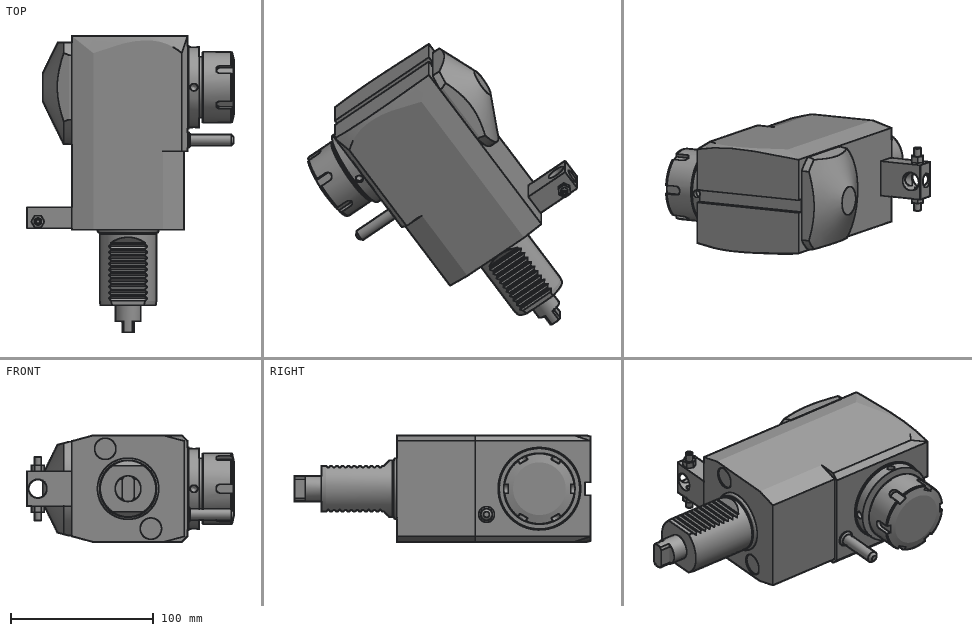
import cadquery as cq
import math


BODY_LENGTH = 136.0
HALF_HEIGHT = 37.5
HALF_WIDTH = 39.4
SPINDLE_FACE_X = 41.7
STEP_Y = 55.0
BEVEL_RUN = 15.0
BEVEL_ANGLE = 15.0
BEVEL_DROP = BEVEL_RUN * math.tan(math.radians(BEVEL_ANGLE))
SIDE_HALF_HEIGHT = HALF_HEIGHT - BEVEL_DROP
REAR_CHAMFER = BEVEL_DROP

CROWN_CORNER_Y = 124.0
CROWN_PEAK_X = 13.5
CROWN_PEAK_Y = 132.9
CROWN_TOP_START_SLOPE = 0.33
CROWN_TOP_END_SLOPE = -0.85
CROWN_REAR_RISE = 3.2
CROWN_REAR_START_SLOPE = 0.09
CROWN_REAR_END_SLOPE = -0.22

KEYWAY_WIDTH = 9.0
KEYWAY_DEPTH = 4.0

PLUG_RADIUS = 7.5
PLUG_X = 16.0
PLUG_Z = 28.0
PLUG_RECESS = 1.0

SPINDLE_Y = 100.0
COVER_RADIUS = 40.0
COVER_TIP_RADIUS = 10.0
COVER_RIM_X = -45.2
COVER_TIP_X = -59.9
COVER_REAR_Y = SPINDLE_Y + 31.5
COVER_BREAK_X = -41.5
COVER_HALF_HEIGHT = 33.0

SEAL_RADIUS = 29.0
SEAL_END_X = 42.7
FLANGE_RADIUS = 28.3
FLANGE_END_X = 49.8
NECK_RADIUS = 21.5
NUT_START_X = 52.2
NUT_END_X = 74.5
NUT_RADIUS = 25.0
NUT_EDGE_CHAMFER = 0.6
NUT_ROUND_X = 71.9
NUT_SHOULDER_X = 73.1
NUT_SHOULDER_RADIUS = 24.6
NUT_FACE_RADIUS = 18.5
NUT_SLOTS = 6
NUT_SLOT_WIDTH = 6.2
NUT_SLOT_START_X = 61.7
NUT_SLOT_FLOOR_RADIUS = 22.0
SPANNER_HOLES = 4
SPANNER_HOLE_RADIUS = 2.6
SPANNER_HOLE_DEPTH = 4.0
SPANNER_HOLE_TIP = 2.0
SPANNER_HOLE_X = 46.2

PIN_Y = 62.9
PIN_Z = -18.1
PIN_RADIUS = 4.0
PIN_END_X = 74.3
PIN_CHAMFER = 2.0
PIN_COLLAR_RADIUS = 5.5
PIN_COLLAR_END_X = 43.8
PIN_COLLAR_CHAMFER = 1.4

SHANK_RADIUS = 20.0
SHANK_LENGTH = 53.0
SHANK_TIP_LENGTH = 3.2
SHANK_TIP_RADIUS = 19.5
SHANK_COLLAR_RADIUS = 21.5
SHANK_COLLAR_LENGTH = 2.1
SHANK_COLLAR_ROUND = SHANK_COLLAR_RADIUS - SHANK_RADIUS
SHANK_UNDERCUT_RADIUS = 19.7
SHANK_UNDERCUT_END = 3.2
FLAT_HALF_HEIGHT = 16.0
FLAT_RAMP_START = 5.2
TOOTH_COUNT = 10
TOOTH_PITCH = 4.05
FIRST_TOOTH_Y = -11.7
TOOTH_DEPTH = 1.3
TOOTH_HALF_WIDTH = 1.5

TANG_RADIUS = 9.0
TANG_SHOULDER_Y = -64.2
TANG_END_Y = -72.0
TANG_WIDTH = 8.4
TANG_CORNER_X = 3.0
TANG_FLAT_HALF_HEIGHT = 6.6
TANG_ROOT_FILLET = 0.7

BRACKET_END_X = -71.1
BRACKET_FRONT_Y = 1.0
BRACKET_REAR_Y = 15.9
BRACKET_HALF_HEIGHT = 12.3
BRACKET_CHAMFER = 0.5
PORT_X = -63.3
PORT_RADIUS = 6.4
SIDE_PORT_Y = 7.1
SIDE_PORT_RADIUS = 4.9
FEED_RADIUS = 1.6
SIDE_PORT_END_X = -51.5
FEED_DEPTH = 5.0
STUD_BORE_RADIUS = 2.0
STUD_BORE_HALF_LENGTH = 6.7
STUD_Y = 5.8
STUD_RADIUS = 2.5
STUD_TOP_Z = 22.4
STUD_CHAMFER = 0.4
STUD_SOCKET_FLATS = 2.5
STUD_SOCKET_DEPTH = 2.5
STUD_NUT_FLATS = 8.0
STUD_NUT_HEIGHT = 4.3


def revolve_about_x(points, axis_y, axis_z):
    """Turn a closed (x, radius) outline about an axis parallel to X."""
    profile = cq.Workplane("XY").polyline(points).close()
    return profile.revolve(360, (0, 0), (1, 0)).translate((0, axis_y, axis_z))


def mirrored_pair(shape):
    """The shape together with its mirror image below Z = 0."""
    return shape.union(shape.mirror("XY"))


def crown_cut():
    """The piece between the top face, the rear face and the crowned slope."""
    left = -HALF_WIDTH + BEVEL_RUN
    right = SPINDLE_FACE_X - REAR_CHAMFER
    top_left = cq.Vector(left, CROWN_CORNER_Y, HALF_HEIGHT)
    top_peak = cq.Vector(CROWN_PEAK_X, CROWN_PEAK_Y, HALF_HEIGHT)
    top_right = cq.Vector(right, CROWN_CORNER_Y, HALF_HEIGHT)
    rear_left = cq.Vector(-HALF_WIDTH, BODY_LENGTH, SIDE_HALF_HEIGHT)
    rear_peak = cq.Vector(CROWN_PEAK_X, BODY_LENGTH, SIDE_HALF_HEIGHT + CROWN_REAR_RISE)
    rear_right = cq.Vector(SPINDLE_FACE_X, BODY_LENGTH, SIDE_HALF_HEIGHT)
    corner_left = cq.Vector(left, BODY_LENGTH, HALF_HEIGHT)
    corner_right = cq.Vector(right, BODY_LENGTH, HALF_HEIGHT)

    line = cq.Edge.makeLine
    top_tangents = [
        cq.Vector(1, CROWN_TOP_START_SLOPE, 0), cq.Vector(1, 0, 0),
        cq.Vector(1, CROWN_TOP_END_SLOPE, 0),
    ]
    rear_tangents = [
        cq.Vector(1, 0, CROWN_REAR_START_SLOPE), cq.Vector(1, 0, 0),
        cq.Vector(1, 0, CROWN_REAR_END_SLOPE),
    ]
    top_curve = cq.Edge.makeSpline([top_left, top_peak, top_right], top_tangents)
    rear_curve = cq.Edge.makeSpline([rear_left, rear_peak, rear_right], rear_tangents)
    corner = line(corner_left, corner_right)
    left_top = line(top_left, corner_left)
    left_rear = line(rear_left, corner_left)
    left_crease = line(top_left, rear_left)
    right_top = line(top_right, corner_right)
    right_rear = line(rear_right, corner_right)
    right_crease = line(top_right, rear_right)
    outlines = [
        [top_curve, right_top, corner, left_top],
        [rear_curve, right_rear, corner, left_rear],
        [left_top, left_rear, left_crease],
        [right_top, right_rear, right_crease],
    ]
    faces = [cq.Face.makeFromWires(cq.Wire.assembleEdges(edges)) for edges in outlines]
    faces.append(cq.Face.makeRuledSurface(top_curve, rear_curve))
    return cq.Workplane(obj=cq.Solid.makeSolid(cq.Shell.makeShell(faces)))


def housing_block(start_y, end_y, right_x, right_bevel_run):
    """Straight part of the housing; its right-hand bevels may differ from the left ones."""
    left_edge = -HALF_WIDTH + BEVEL_RUN
    right_edge = right_x - right_bevel_run
    outline = [
        (-HALF_WIDTH, SIDE_HALF_HEIGHT), (left_edge, HALF_HEIGHT),
        (right_edge, HALF_HEIGHT), (right_x, SIDE_HALF_HEIGHT),
        (right_x, -SIDE_HALF_HEIGHT), (right_edge, -HALF_HEIGHT),
        (left_edge, -HALF_HEIGHT), (-HALF_WIDTH, -SIDE_HALF_HEIGHT),
    ]
    section = cq.Workplane("XZ", origin=(0, start_y, 0)).polyline(outline).close()
    return section.extrude(start_y - end_y)


def housing():
    front = housing_block(0, STEP_Y, HALF_WIDTH, BEVEL_RUN)
    rear = housing_block(STEP_Y, BODY_LENGTH, SPINDLE_FACE_X, REAR_CHAMFER)
    crown = crown_cut()
    rear = rear.cut(crown).cut(crown.mirror("XY"))
    body = front.union(rear)

    keyway = cq.Workplane("XY").box(3 * HALF_WIDTH, 2 * KEYWAY_DEPTH, KEYWAY_WIDTH)
    body = body.cut(keyway.translate((0, BODY_LENGTH, 0)))
    recesses = cq.Workplane("XZ").pushPoints([(-PLUG_X, PLUG_Z), (PLUG_X, -PLUG_Z)])
    return body.cut(recesses.circle(PLUG_RADIUS).extrude(-PLUG_RECESS))


def gear_cover():
    cone = revolve_about_x(
        [(-HALF_WIDTH, 0), (-HALF_WIDTH, COVER_RADIUS), (COVER_RIM_X, COVER_RADIUS),
         (COVER_TIP_X, COVER_TIP_RADIUS), (COVER_TIP_X, 0)],
        SPINDLE_Y, 0)
    tip_half_height = COVER_HALF_HEIGHT - (COVER_BREAK_X - COVER_TIP_X) * math.tan(
        math.radians(BEVEL_ANGLE))
    envelope = (
        cq.Workplane("XZ", origin=(0, COVER_REAR_Y, 0))
        .polyline([
            (-HALF_WIDTH, COVER_HALF_HEIGHT), (COVER_BREAK_X, COVER_HALF_HEIGHT),
            (COVER_TIP_X, tip_half_height), (COVER_TIP_X, -tip_half_height),
            (COVER_BREAK_X, -COVER_HALF_HEIGHT), (-HALF_WIDTH, -COVER_HALF_HEIGHT)])
        .close()
        .extrude(3 * COVER_RADIUS)
    )
    return cone.intersect(envelope)


def spindle_nose():
    nose = revolve_about_x(
        [(SPINDLE_FACE_X, 0), (SPINDLE_FACE_X, SEAL_RADIUS), (SEAL_END_X, SEAL_RADIUS),
         (SEAL_END_X, FLANGE_RADIUS), (FLANGE_END_X, FLANGE_RADIUS),
         (FLANGE_END_X, NECK_RADIUS), (NUT_START_X, NECK_RADIUS),
         (NUT_START_X, NUT_RADIUS - NUT_EDGE_CHAMFER),
         (NUT_START_X + NUT_EDGE_CHAMFER, NUT_RADIUS), (NUT_ROUND_X, NUT_RADIUS),
         (NUT_SHOULDER_X, NUT_SHOULDER_RADIUS), (NUT_END_X, NUT_FACE_RADIUS),
         (NUT_END_X, 0)],
        0, 0)

    slot_end_x = NUT_SLOT_START_X + NUT_SLOT_WIDTH / 2
    slot_length = NUT_END_X - slot_end_x
    slot_base = cq.Workplane("XY", origin=(slot_end_x, 0, NUT_SLOT_FLOOR_RADIUS))
    slot = slot_base.circle(NUT_SLOT_WIDTH / 2).extrude(NUT_RADIUS)
    straight = slot_base.center(slot_length / 2, 0).rect(slot_length, NUT_SLOT_WIDTH)
    slot = slot.union(straight.extrude(NUT_RADIUS))
    for i in range(NUT_SLOTS):
        angle = 90 + i * 360 / NUT_SLOTS
        nose = nose.cut(slot.rotate((0, 0, 0), (1, 0, 0), angle))

    hole_floor = FLANGE_RADIUS - SPANNER_HOLE_DEPTH
    hole = (
        cq.Workplane("XZ")
        .polyline([
            (0, hole_floor - SPANNER_HOLE_TIP), (SPANNER_HOLE_RADIUS, hole_floor),
            (SPANNER_HOLE_RADIUS, SEAL_RADIUS), (0, SEAL_RADIUS)])
        .close()
        .revolve(360, (0, 0), (0, 1))
        .translate((SPANNER_HOLE_X, 0, 0))
    )
    for i in range(SPANNER_HOLES):
        nose = nose.cut(hole.rotate((0, 0, 0), (1, 0, 0), i * 360 / SPANNER_HOLES))
    return nose.translate((0, SPINDLE_Y, 0))


def locating_pin():
    collar_edge = PIN_COLLAR_END_X - PIN_COLLAR_CHAMFER
    return revolve_about_x(
        [(HALF_WIDTH, 0), (HALF_WIDTH, PIN_COLLAR_RADIUS), (collar_edge, PIN_COLLAR_RADIUS),
         (PIN_COLLAR_END_X, PIN_COLLAR_RADIUS - PIN_COLLAR_CHAMFER),
         (PIN_COLLAR_END_X, PIN_RADIUS), (PIN_END_X - PIN_CHAMFER, PIN_RADIUS),
         (PIN_END_X, PIN_RADIUS - PIN_CHAMFER), (PIN_END_X, 0)],
        PIN_Y, PIN_Z)


def toothed_flat_cut():
    """Material above the upper shank flat, including its V grooves."""
    ramp_rise = SHANK_COLLAR_RADIUS - FLAT_HALF_HEIGHT
    ramp_run_to_surface = SHANK_RADIUS - FLAT_HALF_HEIGHT
    ramp_foot_y = -FLAT_RAMP_START - ramp_run_to_surface
    flat = (
        cq.Workplane("YZ", origin=(-SHANK_RADIUS, 0, 0))
        .polyline([
            (ramp_foot_y, FLAT_HALF_HEIGHT), (ramp_foot_y + ramp_rise, SHANK_COLLAR_RADIUS),
            (-SHANK_LENGTH, SHANK_COLLAR_RADIUS), (-SHANK_LENGTH, FLAT_HALF_HEIGHT)])
        .close()
        .extrude(2 * SHANK_RADIUS)
    )
    for i in range(TOOTH_COUNT):
        tooth_y = FIRST_TOOTH_Y - i * TOOTH_PITCH
        groove = (
            cq.Workplane("YZ", origin=(-SHANK_RADIUS, 0, 0))
            .polyline([
                (tooth_y - TOOTH_HALF_WIDTH, FLAT_HALF_HEIGHT),
                (tooth_y, FLAT_HALF_HEIGHT - TOOTH_DEPTH),
                (tooth_y + TOOTH_HALF_WIDTH, FLAT_HALF_HEIGHT)])
            .close()
            .extrude(2 * SHANK_RADIUS)
        )
        flat = flat.union(groove)
    return flat


def shank():
    round_start_y = SHANK_COLLAR_ROUND - SHANK_COLLAR_LENGTH
    round_offset = SHANK_COLLAR_ROUND * math.sqrt(0.5)
    round_middle = (SHANK_RADIUS + round_offset, round_start_y - round_offset)
    body = (
        cq.Workplane("XY")
        .lineTo(SHANK_COLLAR_RADIUS, 0)
        .lineTo(SHANK_COLLAR_RADIUS, round_start_y)
        .threePointArc(round_middle, (SHANK_RADIUS, -SHANK_COLLAR_LENGTH))
        .lineTo(SHANK_UNDERCUT_RADIUS, -SHANK_COLLAR_LENGTH)
        .lineTo(SHANK_UNDERCUT_RADIUS, -SHANK_UNDERCUT_END)
        .lineTo(SHANK_RADIUS, -SHANK_UNDERCUT_END)
        .lineTo(SHANK_RADIUS, SHANK_TIP_LENGTH - SHANK_LENGTH)
        .lineTo(SHANK_TIP_RADIUS, -SHANK_LENGTH)
        .lineTo(0, -SHANK_LENGTH)
        .close()
        .revolve(360, (0, 0), (0, 1))
    )
    return body.cut(mirrored_pair(toothed_flat_cut()))


def drive_tang():
    base = cq.Workplane("XZ", origin=(0, -SHANK_LENGTH, 0)).circle(TANG_RADIUS)
    base = base.extrude(-SHANK_LENGTH - TANG_SHOULDER_Y)

    edge_x = TANG_WIDTH / 2
    corner_z = math.sqrt(TANG_RADIUS**2 - TANG_CORNER_X**2)
    flat_z = TANG_FLAT_HALF_HEIGHT
    blade = (
        cq.Workplane("XZ", origin=(0, TANG_SHOULDER_Y, 0))
        .moveTo(edge_x, -flat_z)
        .lineTo(edge_x, flat_z)
        .lineTo(TANG_CORNER_X, corner_z)
        .threePointArc((0, TANG_RADIUS), (-TANG_CORNER_X, corner_z))
        .lineTo(-edge_x, flat_z)
        .lineTo(-edge_x, -flat_z)
        .lineTo(-TANG_CORNER_X, -corner_z)
        .threePointArc((0, -TANG_RADIUS), (TANG_CORNER_X, -corner_z))
        .close()
        .extrude(TANG_SHOULDER_Y - TANG_END_Y)
    )
    return base.union(blade).union(tang_root_fillets())


def tang_root_fillets():
    """Concave strips where the two blade flats meet the round base."""
    edge_x = TANG_WIDTH / 2
    outer_x = edge_x + TANG_ROOT_FILLET
    tip_y = TANG_SHOULDER_Y - TANG_ROOT_FILLET
    sag = TANG_ROOT_FILLET * math.sqrt(0.5)
    strip = (
        cq.Workplane("XY", origin=(0, 0, -TANG_FLAT_HALF_HEIGHT))
        .moveTo(edge_x, TANG_SHOULDER_Y)
        .lineTo(outer_x, TANG_SHOULDER_Y)
        .threePointArc((outer_x - sag, tip_y + sag), (edge_x, tip_y))
        .close()
        .extrude(2 * TANG_FLAT_HALF_HEIGHT)
    )
    return strip.union(strip.mirror("YZ"))


def bracket_stud():
    """Upper clamping stud with its hexagon nut."""
    seat = cq.Workplane("XY", origin=(PORT_X, STUD_Y, BRACKET_HALF_HEIGHT))
    nut = seat.polygon(6, STUD_NUT_FLATS / math.cos(math.pi / 6)).extrude(STUD_NUT_HEIGHT)
    stud = seat.circle(STUD_RADIUS).extrude(STUD_TOP_Z - BRACKET_HALF_HEIGHT)
    stud = stud.faces(">Z").chamfer(STUD_CHAMFER)
    socket = cq.Workplane("XY", origin=(PORT_X, STUD_Y, STUD_TOP_Z))
    socket = socket.polygon(6, STUD_SOCKET_FLATS / math.cos(math.pi / 6))
    return nut.union(stud).cut(socket.extrude(-STUD_SOCKET_DEPTH))


def coolant_bracket():
    length = -HALF_WIDTH - BRACKET_END_X
    depth = BRACKET_REAR_Y - BRACKET_FRONT_Y
    block = cq.Workplane("XY").box(length, depth, 2 * BRACKET_HALF_HEIGHT, centered=(False, False, True))
    block = block.translate((BRACKET_END_X, BRACKET_FRONT_Y, 0))
    block = block.edges("|Z and <X").chamfer(BRACKET_CHAMFER)

    port = cq.Workplane("XZ", origin=(PORT_X, BRACKET_REAR_Y, 0)).circle(PORT_RADIUS).extrude(depth)
    side = cq.Workplane("YZ", origin=(BRACKET_END_X, SIDE_PORT_Y, 0))
    side_port = side.circle(SIDE_PORT_RADIUS).extrude(SIDE_PORT_END_X - BRACKET_END_X)
    feed_end_x = SIDE_PORT_END_X + FEED_DEPTH
    feed = side.circle(FEED_RADIUS).extrude(feed_end_x - BRACKET_END_X)
    stud_bore = cq.Workplane("XY", origin=(PORT_X, STUD_Y, -STUD_BORE_HALF_LENGTH))
    stud_bore = stud_bore.circle(STUD_BORE_RADIUS).extrude(2 * STUD_BORE_HALF_LENGTH)
    block = block.cut(port).cut(side_port).cut(feed).cut(stud_bore)
    return block.union(mirrored_pair(bracket_stud()))


result = (
    housing()
    .union(gear_cover())
    .union(spindle_nose())
    .union(locating_pin())
    .union(shank())
    .union(drive_tang())
    .union(coolant_bracket())
)